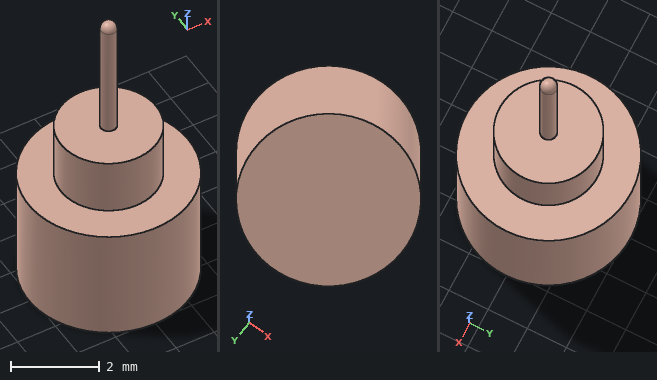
import cadquery as cq

total_height = 7.85
base_diameter = 4.2
base_height = 3.05
collar_diameter = 2.5
collar_height = 1.5
pin_diameter = 0.4

pin_radius = pin_diameter / 2
pin_height = total_height - base_height - collar_height


def make_body():
    """Wide cylindrical base with a narrower collar on top."""
    base = cq.Workplane("XY").circle(base_diameter / 2).extrude(base_height)
    return base.faces(">Z").workplane().circle(collar_diameter / 2).extrude(collar_height)


def make_pin():
    """Slender pin with a hemispherical tip, standing on the collar."""
    shoulder_height = pin_height - pin_radius
    half_profile = (
        cq.Workplane("XZ", origin=(0, 0, base_height + collar_height))
        .lineTo(pin_radius, 0)
        .lineTo(pin_radius, shoulder_height)
        .radiusArc((0, pin_height), -pin_radius)
        .close()
    )
    return half_profile.revolve(360, (0, 0), (0, 1))


result = make_body().union(make_pin())